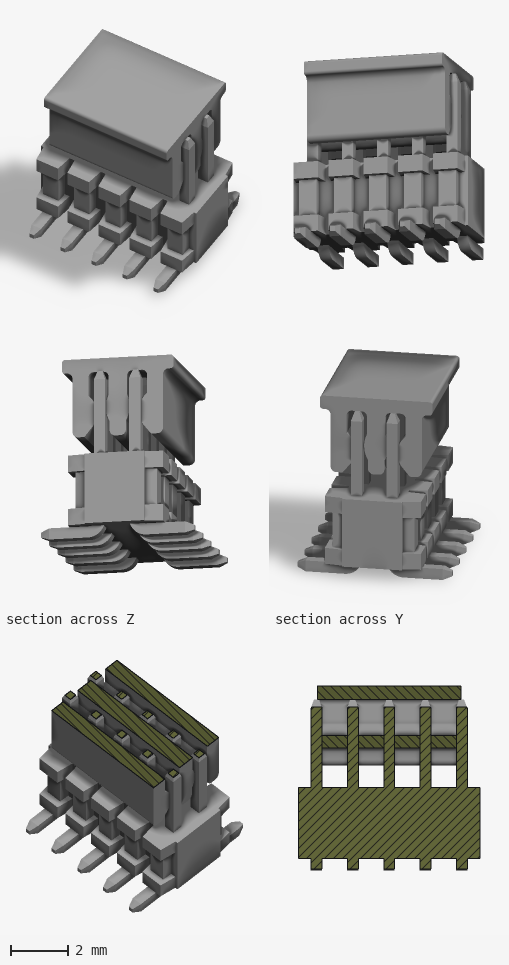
import cadquery as cq
import math


total_height = 6.47
pitch = 1.27
column_count = 5

insulator_length = 6.35
insulator_height = 2.505
core_depth = 2.135
standoff = 0.415
rib_depth = 3.42
rib_height = 0.59
rib_root_width = 1.07
rib_tip_width = 0.885
post_depth = 2.91
post_root_width = 0.665
post_tip_width = 0.63

pin_width = 0.4
pin_tip_width = 0.175
pin_tip_length = 0.31
bend_radius = 0.61
foot_span = 5.5

cap_length = 5.03
cap_shift = 0.025
plate_depth = 4.0
plate_thickness = 0.49
plate_edge_radius = 0.105
cap_height = 2.8
legs_depth = 3.25
leg_radius = 0.2
slot_outer = 1.05
slot_inner = 0.33
slot_corner_radius = 0.18
bulge_top_drop = 1.33
outer_bulge_reach = 0.75
outer_bulge_drop = 1.97
lead_in_start = 0.96
lead_in_drop = 2.51
lead_in_end = 1.2
middle_bulge_half = 0.43
middle_bulge_drop = 1.79
middle_end_half = 0.29
middle_end_drop = 2.28

column_places = [(i - (column_count - 1) / 2) * pitch for i in range(column_count)]
row_place = pitch / 2
plate_bottom = total_height - plate_thickness
cap_bottom = total_height - cap_height
edge_margin = 0.005


def trapezoid_bar(root_width, tip_width, depth, bottom, height):
    """Bar through the core in Y, narrowing from the core faces to both ends."""
    core_half = core_depth / 2
    end_half = depth / 2
    half_outline = [(tip_width / 2, -end_half), (root_width / 2, -core_half),
                    (root_width / 2, core_half), (tip_width / 2, end_half)]
    other_half = [(-x, -y) for x, y in half_outline]
    return (
        cq.Workplane("XY", origin=(0, 0, bottom))
        .polyline(half_outline + other_half).close()
        .extrude(height)
    )


def make_insulator():
    """Core block with a post and two ribs per column on both long sides."""
    core = cq.Workplane("XY", origin=(0, 0, standoff)).rect(insulator_length, core_depth)
    insulator = core.extrude(insulator_height)
    post = trapezoid_bar(post_root_width, post_tip_width, post_depth, standoff, insulator_height)
    lower_rib = trapezoid_bar(rib_root_width, rib_tip_width, rib_depth, standoff, rib_height)
    upper_rib = lower_rib.translate((0, 0, insulator_height - rib_height))
    column = post.union(lower_rib).union(upper_rib)
    for x in column_places:
        insulator = insulator.union(column.translate((x, 0, 0)))
    return insulator


def pin_tip(plane):
    """Square pin end, narrowing along the normal of the plane."""
    return (
        cq.Workplane(plane)
        .rect(pin_width, pin_width)
        .workplane(offset=pin_tip_length)
        .rect(pin_tip_width, pin_tip_width)
        .loft(ruled=True)
    )


def make_pin():
    """Pin of the +Y row: upright stem, round bend and outward solder foot."""
    inner_face = row_place - pin_width / 2
    outer_face = row_place + pin_width / 2
    bend_y = inner_face + bend_radius
    inside_radius = bend_radius - pin_width
    diagonal = math.sqrt(0.5)
    stem_end = plate_bottom - pin_tip_length
    foot_end = foot_span / 2 - pin_tip_length
    pin = (
        cq.Workplane("YZ")
        .moveTo(inner_face, stem_end)
        .lineTo(inner_face, bend_radius)
        .threePointArc((bend_y - bend_radius * diagonal, bend_radius * (1 - diagonal)), (bend_y, 0))
        .lineTo(foot_end, 0)
        .lineTo(foot_end, pin_width)
        .lineTo(bend_y, pin_width)
        .threePointArc(
            (bend_y - inside_radius * diagonal, bend_radius - inside_radius * diagonal),
            (outer_face, bend_radius),
        )
        .lineTo(outer_face, stem_end)
        .close()
        .extrude(pin_width / 2, both=True)
    )
    stem_plane = cq.Plane(origin=(0, row_place, stem_end), xDir=(1, 0, 0), normal=(0, 0, 1))
    foot_plane = cq.Plane(origin=(0, foot_end, pin_width / 2), xDir=(1, 0, 0), normal=(0, 1, 0))
    return pin.union(pin_tip(stem_plane)).union(pin_tip(foot_plane))


def make_header():
    """Insulator and its two rows of pins, moulded together as one body."""
    header = make_insulator()
    rear_pin = make_pin()
    front_pin = rear_pin.mirror("XZ")
    for x in column_places:
        header = header.union(rear_pin.translate((x, 0, 0)))
        header = header.union(front_pin.translate((x, 0, 0)))
    return header


def make_cap_slot():
    """Slot on the +Y side of the cap, between the middle leg and an outer leg."""
    bulge_top = total_height - bulge_top_drop
    middle_end = total_height - middle_end_drop
    slot = (
        cq.Workplane("YZ")
        .moveTo(slot_inner, plate_bottom)
        .lineTo(slot_outer, plate_bottom)
        .lineTo(slot_outer, bulge_top)
        .threePointArc(
            (outer_bulge_reach, total_height - outer_bulge_drop),
            (lead_in_start, total_height - lead_in_drop),
        )
        .lineTo(lead_in_end, cap_bottom)
        .lineTo(middle_end_half, cap_bottom)
        .lineTo(middle_end_half, middle_end)
        .threePointArc(
            (middle_bulge_half, total_height - middle_bulge_drop),
            (slot_inner, bulge_top),
        )
        .close()
        .extrude(cap_length / 2, both=True)
    )
    return slot.faces(">Z").edges("|X").fillet(slot_corner_radius)


def make_cap():
    """Flat pick-up plate with three legs that grip the pin rows."""
    plate = (
        cq.Workplane("XY", origin=(0, 0, plate_bottom))
        .rect(cap_length, plate_depth)
        .extrude(plate_thickness)
        .edges("|X").fillet(plate_edge_radius)
    )
    legs = cq.Workplane("XY", origin=(0, 0, cap_bottom)).rect(cap_length, legs_depth)
    cap = plate.union(legs.extrude(cap_height - plate_thickness))

    leg_faces = cq.selectors.BoxSelector(
        (-cap_length, -legs_depth / 2 - edge_margin, cap_bottom - edge_margin),
        (cap_length, legs_depth / 2 + edge_margin, plate_bottom + edge_margin),
    )
    cap = cap.edges("|X").edges(leg_faces).fillet(leg_radius)

    slot = make_cap_slot()
    cap = cap.cut(slot).cut(slot.mirror("XZ"))

    middle_leg_end = cq.selectors.BoxSelector(
        (-cap_length, -middle_end_half - edge_margin, cap_bottom - edge_margin),
        (cap_length, middle_end_half + edge_margin, cap_bottom + edge_margin),
    )
    cap = cap.edges("|X").edges(middle_leg_end).fillet(leg_radius)
    return cap.translate((0, cap_shift, 0))


header = make_header()

cap = make_cap().cut(header)

result = cq.Compound.makeCompound([*header.solids().vals(), *cap.solids().vals()])